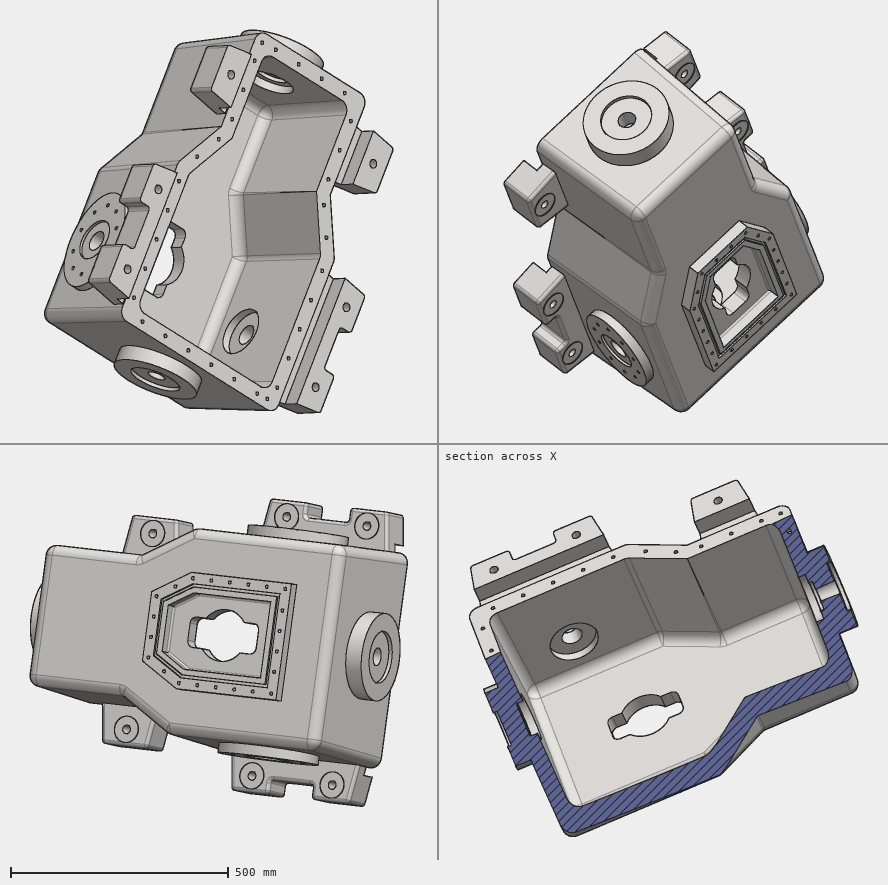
import cadquery as cq
import math

tilt_about_x = -147.2
tilt_about_y = 44.0
tilt_about_z = 21.9

depth = 330.0
draft = 2.0
wall = 39.0
corner_radius = 25.0
narrow_end = -403.0
wide_end = 376.0
narrow_half_width = 175.0
wide_half_width = 250.0
slant_start = -152.0
slant_end = -22.0

bolt_radius = 4.0
bolt_hole_depth = 27.0
bolt_pitch_across = 73.5
bolt_pitch_along = 75.0
bolt_edge_offset = 21.0
narrow_bolts_start = -332.0
wide_bolts_start = 16.0
slant_bolts = [(168.0, -123.0), (207.0, -58.0)]
dowel_places = [(-152.0, -380.0), (215.0, 354.0)]

end_boss_z = 141.0
end_boss_radius = 101.0
narrow_boss_face = -442.5
wide_boss_face = 408.0
end_recess_radius = 60.0
end_recess_depth = 9.0
end_bore_radius = 21.0
inner_seat_radius = 57.0
inner_seat_depth = 18.0
inner_step_radius = 38.0
inner_step_depth = 9.0

side_boss_y = 179.0
side_boss_z = 187.0
side_boss_half_length = 121.0
side_boss_half_height = 94.0
side_boss_face = 264.0
side_recess_radius = 49.0
side_recess_depth = 6.0
side_bore_radius = 24.0
side_bolts = 10
side_bolt_half_length = 89.0
side_bolt_half_height = 70.0

foot_front = -40.0
foot_back = 45.0
foot_ledge = 4.5
foot_end_slope = 0.15
foot_height = 70.0
foot_fillet = 8.0
foot_hole_radius = 10.0
foot_hole_inset = 38.0
spot_radius = 30.5
spot_depth = 2.0
narrow_foot_outer = 265.0
narrow_foot_y = -258.0
narrow_foot_half_length = 58.0
wide_foot_outer = 339.0
wide_foot_y = 178.0
wide_foot_half_length = 151.0
wide_foot_hole_spacing = 206.0
foot_gap_half_length = 55.0
foot_gap_depth = 34.0

frame_face = 358.0
frame_offset = 47.0
window_half_width = 89.0
window_top_half_width = 54.0
window_top = -43.0
window_bend = 18.0
window_bottom = 215.0
window_fillet = 4.5
groove_offset = 13.0
groove_width = 7.0
groove_depth = 6.0
frame_bolt_radius = 4.0
frame_bolt_depth = 18.0
frame_bolt_x = 122.0
frame_bolt_top = -76.0
frame_bolt_bottom = 247.0
frame_bolt_pitch = 47.5
frame_side_bolts = 6
frame_slant_bolt = (98.5, -31.0)

key_y = 92.0
key_radius = 60.0
key_slot_width = 71.0
key_slot_length = 176.0
key_slot_radius = 15.0

slant_angle = math.atan2(wide_half_width - narrow_half_width, slant_end - slant_start)
draft_slope = math.tan(math.radians(draft))


def mirrored(points):
    """Close an outline given by its +x half."""
    return points + [(-x, y) for x, y in reversed(points)]


def body_outline(inset):
    """Outline of the housing at the bolting face, moved inwards by inset."""
    bend_shift = inset * math.tan(slant_angle / 2)
    return mirrored([
        (narrow_half_width - inset, narrow_end + inset),
        (narrow_half_width - inset, slant_start + bend_shift),
        (wide_half_width - inset, slant_end + bend_shift),
        (wide_half_width - inset, wide_end - inset),
    ])


def rounded_block(inset, height):
    """Drafted block, rounded everywhere except around the bolting face."""
    block = cq.Workplane("XY").polyline(body_outline(inset)).close().extrude(height, taper=draft)
    return block.faces("not <Z").edges("not <Z").fillet(corner_radius)


def end_plane(y):
    """Plane across the housing on the end boss axis; its normal points along +y."""
    return cq.Workplane(cq.Plane(origin=(0, y, end_boss_z), xDir=(1, 0, 0), normal=(0, 1, 0)))


def side_plane(x):
    """Plane on the side boss axis; its local x runs along the housing."""
    return cq.Workplane(cq.Plane(origin=(x, side_boss_y, side_boss_z), xDir=(0, 1, 0), normal=(1, 0, 0)))


def end_boss(face_y, root_y):
    return end_plane(root_y).circle(end_boss_radius).extrude(face_y - root_y)


def end_bore(face_y, inner_y):
    """Cutter for one end: outer recess, through bore and stepped inner seat."""
    outward = math.copysign(1, face_y)
    seat_y = inner_y + outward * inner_seat_depth
    step_y = seat_y + outward * inner_step_depth
    hollow_y = inner_y - outward * wall
    cutter = end_plane(hollow_y).circle(end_bore_radius).extrude(face_y - hollow_y)
    cutter = cutter.union(end_plane(face_y).circle(end_recess_radius).extrude(-outward * end_recess_depth))
    cutter = cutter.union(end_plane(hollow_y).circle(inner_seat_radius).extrude(seat_y - hollow_y))
    return cutter.union(end_plane(hollow_y).circle(inner_step_radius).extrude(step_y - hollow_y))


def side_boss():
    root = wide_half_width - wall / 2
    return side_plane(root).ellipse(side_boss_half_length, side_boss_half_height).extrude(side_boss_face - root)


def side_bore():
    """Cutter for the +x side: recess, bolt holes, through bore and inner seat."""
    inner_x = wide_half_width - wall - side_boss_z * draft_slope
    hollow_x = inner_x - wall
    face = side_plane(side_boss_face)
    cutter = side_plane(hollow_x).circle(side_bore_radius).extrude(side_boss_face - hollow_x)
    cutter = cutter.union(face.circle(side_recess_radius).extrude(-side_recess_depth))
    cutter = cutter.union(
        side_plane(hollow_x).circle(inner_seat_radius).extrude(inner_x + inner_seat_depth - hollow_x))
    angles = [2 * math.pi * i / side_bolts for i in range(side_bolts)]
    places = [(side_bolt_half_length * math.cos(a), side_bolt_half_height * math.sin(a)) for a in angles]
    return cutter.union(face.pushPoints(places).circle(bolt_radius).extrude(-bolt_hole_depth))


def foot_prism(inner_x, outer_x, centre_y, half_length, front):
    """Block on the +x side whose ends close in towards its outer face."""
    root_half_length = half_length + foot_end_slope * (outer_x - inner_x)
    return (
        cq.Workplane("XY", origin=(0, centre_y, front))
        .polyline([
            (inner_x, -root_half_length),
            (outer_x, -half_length),
            (outer_x, half_length),
            (inner_x, root_half_length),
        ])
        .close()
        .extrude(foot_back - front)
    )


def foot(wall_x, outer_x, centre_y, half_length, gap_half_length=0):
    """Foot on the +x side, raised above the bolting face beyond a low ledge."""
    root_x = wall_x - wall / 2
    raised_x = outer_x - foot_height
    base = foot_prism(root_x, outer_x, centre_y, half_length, foot_ledge)
    pad = foot_prism(raised_x, outer_x, centre_y, half_length, foot_front)
    block = base.union(pad, clean=True)
    if gap_half_length:
        gap = (
            cq.Workplane("XY", origin=(outer_x, centre_y, foot_front))
            .rect(2 * foot_gap_depth, 2 * gap_half_length)
            .extrude(foot_back - foot_front)
            .edges("|Z and <X")
            .fillet(foot_fillet)
        )
        block = block.cut(gap)
    block = block.edges("|Z and >X").fillet(foot_fillet)
    return block.faces(">Z").edges("not <X").fillet(foot_fillet)


def foot_holes(outer_x, places_y):
    """Cutter for the through holes of a foot and their rear spot faces."""
    places = [(outer_x - foot_hole_inset, y) for y in places_y]
    holes = cq.Workplane("XY", origin=(0, 0, foot_front)).pushPoints(places)
    holes = holes.circle(foot_hole_radius).extrude(foot_back - foot_front)
    spots = cq.Workplane("XY", origin=(0, 0, foot_back)).pushPoints(places)
    return holes.union(spots.circle(spot_radius).extrude(-spot_depth))


def window_outline(start_z, offset):
    """Outline of the rear window, moved outwards by offset."""
    points = mirrored([
        (window_top_half_width, window_top),
        (window_half_width, window_bend),
        (window_half_width, window_bottom),
    ])
    outline = cq.Workplane("XY", origin=(0, 0, start_z)).polyline(points).close()
    return outline.offset2D(offset, "intersection") if offset else outline


def rear_frame():
    root_z = depth - wall / 2
    return window_outline(root_z, frame_offset).extrude(frame_face - root_z)


def rear_window():
    """Cutter for the window, its seal groove, the frame bolts and the keyed opening."""
    window = window_outline(frame_face, 0).extrude(depth - frame_face)
    window = window.faces("<Z").edges().fillet(window_fillet)
    groove = window_outline(frame_face, groove_offset + groove_width).extrude(-groove_depth)
    groove = groove.cut(window_outline(frame_face, groove_offset).extrude(-groove_depth))

    row_x = [(i - 1.5) * frame_bolt_pitch for i in range(4)]
    places = [(x, y) for x in row_x for y in (frame_bolt_top, frame_bolt_bottom)]
    for side in (-1, 1):
        places += [(side * frame_bolt_x, frame_bolt_bottom - i * frame_bolt_pitch)
                   for i in range(frame_side_bolts)]
        places.append((side * frame_slant_bolt[0], frame_slant_bolt[1]))
    bolts = cq.Workplane("XY", origin=(0, 0, frame_face)).pushPoints(places)
    bolts = bolts.circle(frame_bolt_radius).extrude(-frame_bolt_depth)

    through = wall + corner_radius
    key = cq.Workplane("XY", origin=(0, key_y, depth)).rect(key_slot_width, key_slot_length)
    key = key.extrude(-through).edges("|Z").fillet(key_slot_radius)
    key = key.union(cq.Workplane("XY", origin=(0, key_y, depth)).circle(key_radius).extrude(-through))
    return window.union(groove).union(bolts).union(key)


def bolting_face_holes():
    """Cutter for the bolt and dowel holes around the bolting face."""
    places = [((i - 1.5) * bolt_pitch_across, narrow_end + bolt_edge_offset) for i in range(4)]
    places += [((i - 2.5) * bolt_pitch_across, wide_end - bolt_edge_offset) for i in range(6)]
    for side in (-1, 1):
        narrow_x = side * (narrow_half_width - bolt_edge_offset)
        wide_x = side * (wide_half_width - bolt_edge_offset)
        places += [(narrow_x, narrow_bolts_start + i * bolt_pitch_along) for i in range(3)]
        places += [(wide_x, wide_bolts_start + i * bolt_pitch_along) for i in range(5)]
        places += [(side * x, y) for x, y in slant_bolts]
    holes = cq.Workplane("XY").pushPoints(places + dowel_places)
    return holes.circle(bolt_radius).extrude(bolt_hole_depth)


def both_sides(shape):
    return shape.union(shape.mirror("YZ"))


wide_hole_ys = [wide_foot_y + side * wide_foot_hole_spacing / 2 for side in (-1, 1)]
feet = foot(narrow_half_width, narrow_foot_outer, narrow_foot_y, narrow_foot_half_length).union(
    foot(wide_half_width, wide_foot_outer, wide_foot_y, wide_foot_half_length, foot_gap_half_length))
bosses = end_boss(narrow_boss_face, narrow_end + wall / 2)
bosses = bosses.union(end_boss(wide_boss_face, wide_end - wall / 2))
bosses = bosses.union(both_sides(side_boss()))
body = rounded_block(0, depth).union(both_sides(feet)).union(bosses).union(rear_frame())

body = body.cut(rounded_block(wall, depth - wall))
body = body.cut(end_bore(narrow_boss_face, narrow_end + wall + end_boss_z * draft_slope))
body = body.cut(end_bore(wide_boss_face, wide_end - wall - end_boss_z * draft_slope))
body = body.cut(both_sides(side_bore()))
body = body.cut(both_sides(foot_holes(narrow_foot_outer, [narrow_foot_y])))
body = body.cut(both_sides(foot_holes(wide_foot_outer, wide_hole_ys)))
body = body.cut(rear_window()).cut(bolting_face_holes())

result = (
    body.rotate((0, 0, 0), (1, 0, 0), tilt_about_x)
    .rotate((0, 0, 0), (0, 1, 0), tilt_about_y)
    .rotate((0, 0, 0), (0, 0, 1), tilt_about_z)
)